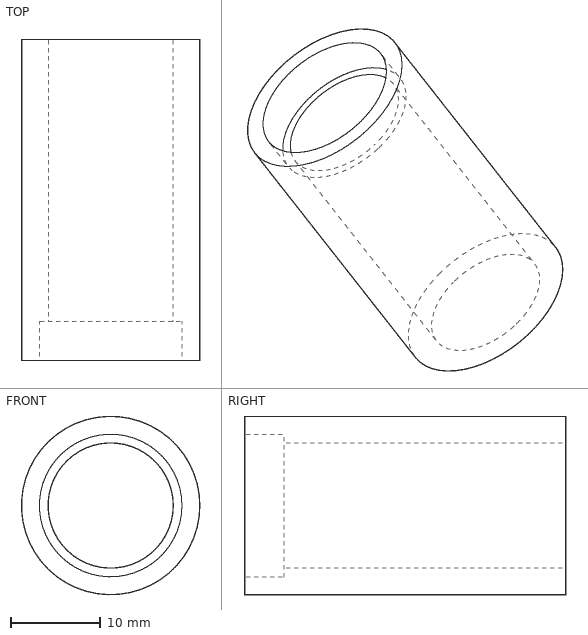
import cadquery as cq

length = 36.0
outer_diameter = 20.0
bore_diameter = 14.0
counterbore_diameter = 16.0
counterbore_depth = 4.4

sleeve = (
    cq.Workplane("XZ", origin=(0, length / 2, 0))
    .circle(outer_diameter / 2)
    .circle(bore_diameter / 2)
    .extrude(length)
)

result = (
    sleeve.faces("<Y")
    .workplane(centerOption="CenterOfBoundBox")
    .circle(counterbore_diameter / 2)
    .cutBlind(-counterbore_depth)
)